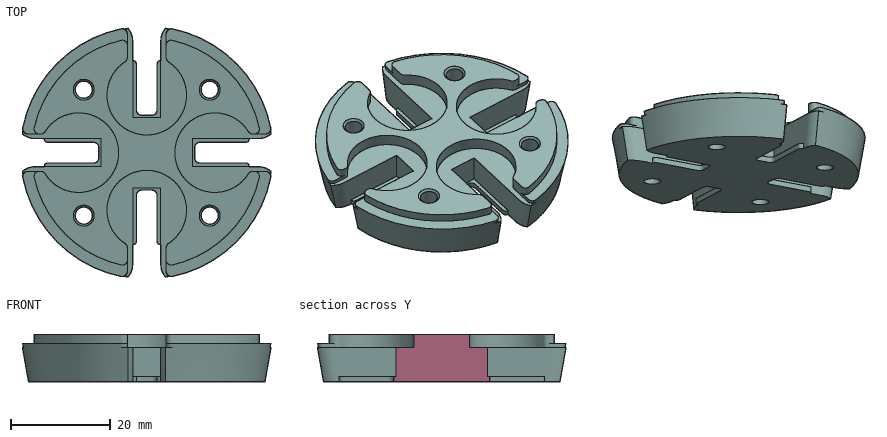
import cadquery as cq
import math

half_span = 25.1
height = 9.6
taper_angle = 10.0

tab_top = 1.1
recess_floor = 6.95
shelf = 7.75

slot_half_width = 2.8
mouth_radius = 4.0
mouth_half_width = 3.75
narrow_half_width = 2.05
narrow_end_step = 0.45
narrow_corner_radius = 1.0
tab_corner_radius = 0.7

recess_radius = 8.05
recess_to_slot_end = 4.45
recess_to_tab_end = 6.95
throat_radius = 1.0
recess_distance_x = 13.7
recess_distance_y = 11.6
channel_half_width_x = 3.75
channel_half_width_y = 3.9

top_radius = 23.2
arm_corner_radius = 1.0
hole_diameter = 3.4
hole_chamfer = 0.4
hole_chamfer_angle = 90
hole_offset = 12.7

taper = math.tan(math.radians(taper_angle))
floor_radius = math.hypot(half_span, mouth_half_width)
bottom_radius = floor_radius - recess_floor * taper
shelf_radius = floor_radius + (shelf - recess_floor) * taper
beyond_rim = 1.2 * half_span
pick_margin = 0.05

slots = [
    (0, recess_distance_x, channel_half_width_x),
    (90, recess_distance_y, channel_half_width_y),
    (180, recess_distance_x, channel_half_width_x),
    (270, recess_distance_y, channel_half_width_y),
]


def block(x_start, x_end, half_width, z_start, z_end):
    """Box along +X, centred on the XZ plane."""
    return (
        cq.Workplane("XY", origin=(0, 0, z_start))
        .moveTo(x_start, -half_width)
        .lineTo(x_end, -half_width)
        .lineTo(x_end, half_width)
        .lineTo(x_start, half_width)
        .close()
        .extrude(z_end - z_start)
    )


def turned(shape, angle):
    """Turn a shape about the Z axis."""
    return shape.rotate((0, 0, 0), (0, 0, 1), angle)


def frustum(z_start, radius_start, z_end, radius_end):
    """Solid of revolution about Z with a straight outer wall."""
    return (
        cq.Workplane("XZ")
        .polyline([(0, z_start), (radius_start, z_start), (radius_end, z_end), (0, z_end)])
        .close()
        .revolve(360, (0, 0), (0, 1))
    )


def channel_cutter(recess_distance, half_width):
    """Round recess that opens outwards through a straight channel."""
    cutter = (
        cq.Workplane("XY", origin=(recess_distance, 0, recess_floor))
        .circle(recess_radius)
        .extrude(height - recess_floor)
        .union(block(recess_distance, beyond_rim, half_width, recess_floor, height))
    )
    throat = recess_distance + math.sqrt(recess_radius**2 - half_width**2)
    throat_zone = cq.selectors.BoxSelector(
        (throat - pick_margin, -half_width - pick_margin, recess_floor),
        (throat + pick_margin, half_width + pick_margin, height),
    )
    return cutter.edges("|Z").edges(throat_zone).fillet(throat_radius)


def mouth_cutter():
    """Flared slot mouth, leaning inwards with the rim wall."""
    flare = mouth_half_width - slot_half_width
    flare_length = math.sqrt(mouth_radius**2 - (mouth_radius - flare) ** 2)
    start = half_span - flare_length
    outer_half_width = slot_half_width + mouth_radius
    arc_mid = mouth_radius * math.sqrt(0.5)
    mid_point = (start + arc_mid, outer_half_width - arc_mid)
    section = (
        cq.Workplane("XY", origin=(0, 0, recess_floor))
        .moveTo(start, -slot_half_width)
        .lineTo(start, slot_half_width)
        .threePointArc(mid_point, (start + mouth_radius, outer_half_width))
        .lineTo(beyond_rim, outer_half_width)
        .lineTo(beyond_rim, -outer_half_width)
        .lineTo(start + mouth_radius, -outer_half_width)
        .threePointArc((mid_point[0], -mid_point[1]), (start, -slot_half_width))
        .close()
        .wire()
        .val()
    )
    lean = cq.Vector(-recess_floor * taper, 0, -recess_floor)
    return cq.Workplane(cq.Solid.extrudeLinear(section, [], lean))


def slot_tabs(slot_end, tab_end):
    """U-shaped ledge at the bottom of a slot."""
    narrow_slot = (
        block(slot_end + narrow_end_step, beyond_rim, narrow_half_width, 0, tab_top)
        .edges("|Z and <X")
        .fillet(narrow_corner_radius)
    )
    ledge = block(slot_end, tab_end, slot_half_width, 0, tab_top).cut(narrow_slot)
    tab_corners = cq.selectors.BoxSelector(
        (tab_end - pick_margin, -narrow_half_width - pick_margin, 0),
        (tab_end + pick_margin, narrow_half_width + pick_margin, tab_top),
    )
    return ledge.edges("|Z").edges(tab_corners).fillet(tab_corner_radius)


def is_arm_corner(edge):
    """True for an upright edge at the outer end of a channel wall."""
    box = edge.BoundingBox()
    centre = edge.Center()
    is_upright = box.zlen > pick_margin
    is_above_floor = centre.z > recess_floor
    is_at_rim = math.hypot(centre.x, centre.y) > top_radius - arm_corner_radius
    return is_upright and is_above_floor and is_at_rim


def round_arm_corners(solid):
    """Round the upright edges where the channels run out through the rim."""
    corners = [edge for edge in solid.edges().vals() if is_arm_corner(edge)]
    return solid.newObject(corners).fillet(arm_corner_radius)


body = frustum(0, bottom_radius, shelf, shelf_radius)
top = cq.Workplane("XY", origin=(0, 0, recess_floor)).circle(top_radius).extrude(height - recess_floor)
for angle, recess_distance, channel_half_width in slots:
    channel = turned(channel_cutter(recess_distance, channel_half_width), angle)
    body = body.cut(channel)
    top = top.cut(channel)
body = round_arm_corners(body)
top = round_arm_corners(top)

mouth = mouth_cutter()
for angle, recess_distance, _ in slots:
    slot_end = recess_distance - recess_to_slot_end
    tab_end = recess_distance + recess_to_tab_end
    slot = block(slot_end, beyond_rim, slot_half_width, 0, recess_floor)
    body = body.cut(turned(slot, angle)).cut(turned(mouth, angle))
    body = body.union(turned(slot_tabs(slot_end, tab_end), angle))

result = body.union(top)

hole_spots = [(x, y) for x in (-hole_offset, hole_offset) for y in (-hole_offset, hole_offset)]
result = (
    result.faces(">Z")
    .workplane(origin=(0, 0, height))
    .pushPoints(hole_spots)
    .cskHole(hole_diameter, hole_diameter + 2 * hole_chamfer, hole_chamfer_angle)
)